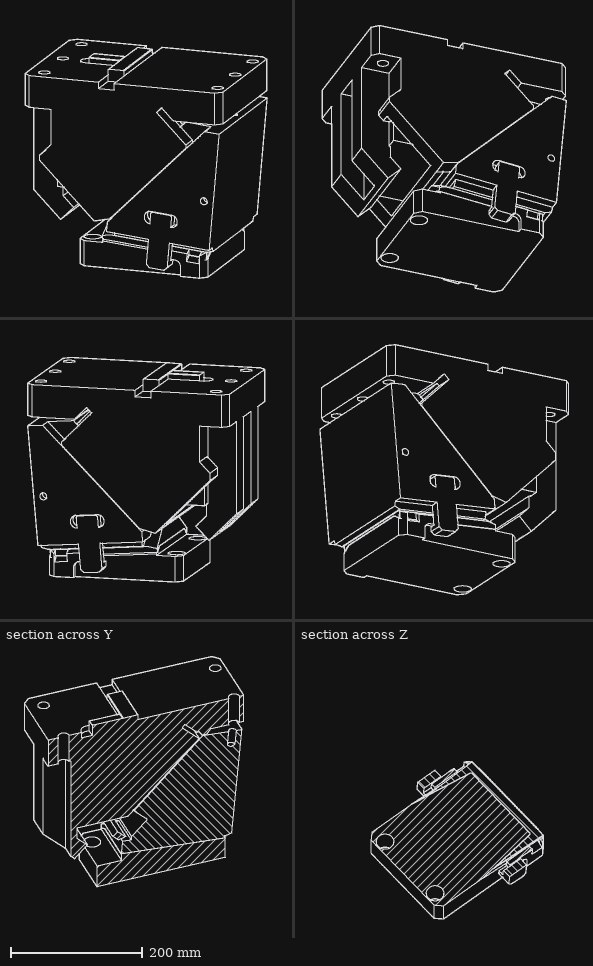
import cadquery as cq
import math


HALF_WIDTH = 110.0
FAR = 640.0
SLIDE_TILT = 5.0
SIN = math.sin(math.radians(SLIDE_TILT))
COS = math.cos(math.radians(SLIDE_TILT))

SLIDER_PLANE = -55.7
SLIDE_GAP = 1.0
HOLDER_PLANE = SLIDER_PLANE + SLIDE_GAP
RAIL_TOP_PLANE = -11.5
RAIL_ROOF_PLANE = RAIL_TOP_PLANE + SLIDE_GAP
RAIL_HALF_WIDTH = 80.0

SLIDER_CORNER_X = 301.0
SLIDER_CORNER_Z = 50.2

LENGTH = 320.0
PLATE_BOTTOM = 250.0
PLATE_TOP = 300.0
PLATE_MIDDLE = (PLATE_BOTTOM + PLATE_TOP) / 2
CORNER_CHAMFER = 10.0
KEY_TOP = 309.0
KEY_EDGE_CHAMFER = 1.0
KEYWAY_FLOOR = 290.0
KEYWAY_START = 122.0
KEYWAY_END = 147.2
CROSS_KEY_LENGTH = 130.5
LONG_KEY_START = 72.0
LONG_KEY_WIDTH = 25.0
LONG_KEYWAY_START = 54.7
BOLT_DIAMETER = 17.3
FRONT_BOLTS = (25.5, (-85.0, 0.0, 85.0))
REAR_BOLTS = (304.3, (-80.0, 0.0, 80.0))
COLUMN_HALF_WIDTH = 61.5
COLUMN_SLOT_WIDTH = 44.0
COLUMN_SLOT_DEPTH = 37.0
COLUMN_BACK = 47.7
HOOK_LOWER_SUM = 106.2
HOOK_UPPER_SUM = 148.5
HOOK_END_PLANE = 19.2
CORE_FRONT = 45.0
CORE_BOTTOM = 120.0
WING_TOP = 194.2
SIDE_LOWER_SUM = 194.5
SIDE_TOE_X = 115.2
SIDE_HEEL_X = 140.0
SIDE_NOSE_X = 263.5
WING_TIP = 26.2
FAR_WING_TIP = 28.5
WING_HALF_GAP = 66.0
WING_UNDERCUT_TOP = 160.3
BRIDGE_TOP_PLANE = -17.3
BRIDGE_BOTTOM_PLANE = -44.8
BRIDGE_END_SUM = 210.0
SLIT_END_PLANE = 45.0
SLIT_UPPER_SUM = 493.0
SLIT_CORE_SUM = 484.5
SLIT_SIDE_SUM = 477.0
BUMPER_X = 256.0
BUMPER_SIZE = 20.0
BUMPER_DROP = 8.3
BUMPER_TAPER = 36.0

SLIDER_LENGTH = 166.7
SLIDER_HEIGHT = 186.2
RAIL_END_SUM = 268.0
SKIRT_LENGTH = 160.0
SKIRT_DROP = 10.2
SKIRT_BEVEL_LENGTH = 9.5
SKIRT_BEVEL_DEPTH = 3.5
SKIRT_TOP_HALF = 94.5
SKIRT_BOTTOM_HALF = 89.5
SHOE_LENGTH = 181.0
SHOE_SETBACK = 11.2
SHOE_BEVEL_DEPTH = 4.0
SHOE_BEVEL_LENGTH = 13.5
SHOE_TOP = 10.0
SHOE_TOP_HALF = 52.5
SHOE_SIDE_HALF = 85.8
SHOE_SIDE_V = -12.0
ROOF_EDGE_HALF = 82.5
ROOF_EDGE_V = -21.8
ROOF_FLAT_HALF = 70.5
ROOF_FLAT_V = -14.5
LEG_U = -81.5
LEG_WIDTH = 34.0
LEG_BOTTOM_V = -44.5
LEG_TOP_V = 44.0
LEG_INNER = 95.0
LEG_CHAMFER = 5.0
LEG_FILLET = 3.2
FOOT_TOP_V = -32.0
EAR_SLOT_LENGTH = 53.5
EAR_SLOT_WIDTH = 20.0
EAR_SLOT_HEADROOM = 1.0
SIDE_HOLE_X = 292.5
SIDE_HOLE_Z = 127.5
SIDE_HOLE_DIAMETER = 11.0
SIDE_HOLE_DEPTH = 16.0
LIFT_HOLE_U = -15.7
LIFT_HOLE_DIAMETER = 12.0
LIFT_HOLE_DEPTH = 25.5
DRILL_POINT = 0.6

DRIVER_FRONT = 80.0
DRIVER_END = 290.0
DRIVER_HALF = 85.8
DRIVER_CHAMFER = 10.2
LEDGE_TOP = 40.0
ROOF_START = 120.0
CHEEK_HALF = 94.0
CHEEK_TOP_V = -16.5
CHEEK_LEFT_U = -84.5
CHEEK_HOOK_V = -30.0
CHEEK_WALL = 249.0
CHEEK_FILLET = 9.5
NOTCH_START_U = -40.0
NOTCH_END_U = -20.0
NOTCH_OUTER_V = -29.0
NOTCH_INNER_V = -22.5
DRIVER_HOLE_X = 95.0
DRIVER_HOLE_Y = 60.0
DRIVER_HOLE_DIAMETER = 26.2


def box(x0, x1, y0, y1, z0, z1):
    return cq.Workplane("XY").box(x1 - x0, y1 - y0, z1 - z0, centered=False).translate((x0, y0, z0))


def side_prism(points, y0, y1):
    """Prism with an (x, z) outline, running from y0 to y1."""
    return cq.Workplane("XZ", origin=(0, y1, 0)).polyline(points).close().extrude(y1 - y0)


def on_45(total, difference):
    """The (x, z) place where the planes x + z = total and z - x = difference cross."""
    return ((total - difference) / 2, (total + difference) / 2)


def tilted(u, v):
    """The (x, z) place of a point of the tilted frame."""
    return (SLIDER_CORNER_X + u * COS + v * SIN, SLIDER_CORNER_Z - u * SIN + v * COS)


def tilted_block(u0, u1, v0, v1, y0, y1):
    corners = [tilted(u0, v0), tilted(u1, v0), tilted(u1, v1), tilted(u0, v1)]
    return side_prism(corners, y0, y1)


def tilted_sketch(u):
    """Workplane for (y, v) outlines, square to the fall line."""
    x, z = tilted(u, 0)
    return cq.Workplane(cq.Plane(origin=(x, 0, z), xDir=(0, 1, 0), normal=(COS, 0, -SIN)))


def slide_prism(half_outline, u0, u1):
    """Prism along the fall line, from the +Y half of its (y, v) outline and its mirror image."""
    mirrored = [(-y, v) for y, v in reversed(half_outline)]
    return tilted_sketch(u0).polyline(half_outline + mirrored).close().extrude(u1 - u0)


def mirrored_pair(body):
    return body.union(body.mirror("XZ"))


def holder_plate():
    plate = box(0, LENGTH, -HALF_WIDTH, HALF_WIDTH, PLATE_BOTTOM, PLATE_TOP)
    return plate.edges("|Z").chamfer(CORNER_CHAMFER)


def holder_core():
    """Middle part over the slider's rail, bounded by the slit at its upper end."""
    slit_end = on_45(SLIT_CORE_SUM, SLIT_END_PLANE)
    outline = [
        (CORE_FRONT, PLATE_MIDDLE),
        (CORE_FRONT, CORE_BOTTOM),
        (CORE_BOTTOM - RAIL_ROOF_PLANE, CORE_BOTTOM),
        on_45(SLIT_CORE_SUM, RAIL_ROOF_PLANE),
        slit_end,
        (slit_end[0], PLATE_MIDDLE),
    ]
    return side_prism(outline, -RAIL_HALF_WIDTH, RAIL_HALF_WIDTH)


def side_plate(wing_tip):
    """Side plate on the +Y side, with its 45 degree wing at the front."""
    slit_end = on_45(SLIT_SIDE_SUM, SLIT_END_PLANE)
    outline = [
        (CORE_FRONT, PLATE_MIDDLE),
        (CORE_FRONT, WING_TOP),
        (wing_tip, WING_TOP - CORE_FRONT + wing_tip),
        (wing_tip, SIDE_LOWER_SUM - wing_tip),
        (SIDE_TOE_X, SIDE_LOWER_SUM - SIDE_TOE_X),
        (SIDE_HEEL_X, SIDE_HEEL_X + HOLDER_PLANE),
        (SIDE_NOSE_X, SIDE_NOSE_X + HOLDER_PLANE),
        (SIDE_NOSE_X, SLIT_SIDE_SUM - SIDE_NOSE_X),
        slit_end,
        (slit_end[0], PLATE_MIDDLE),
    ]
    plate = side_prism(outline, WING_HALF_GAP, HALF_WIDTH)
    behind_wing = box(CORE_FRONT, FAR, 0, RAIL_HALF_WIDTH, 0, FAR)
    undercut = box(0, FAR, 0, RAIL_HALF_WIDTH, 0, WING_UNDERCUT_TOP)
    return plate.cut(behind_wing).cut(undercut)


def hook_column():
    outline = [
        (0, PLATE_MIDDLE),
        (0, HOOK_LOWER_SUM),
        on_45(HOOK_LOWER_SUM, HOOK_END_PLANE),
        on_45(HOOK_UPPER_SUM, HOOK_END_PLANE),
        (COLUMN_BACK, HOOK_UPPER_SUM - COLUMN_BACK),
        (COLUMN_BACK, PLATE_MIDDLE),
    ]
    column = side_prism(outline, -COLUMN_HALF_WIDTH, COLUMN_HALF_WIDTH)
    half_slot = COLUMN_SLOT_WIDTH / 2
    return column.cut(box(0, COLUMN_SLOT_DEPTH, -half_slot, half_slot, 0, PLATE_BOTTOM))


def holder_bridge():
    """Bar that joins the side plates at their lower tips."""
    outline = [
        on_45(SIDE_LOWER_SUM, BRIDGE_TOP_PLANE),
        on_45(BRIDGE_END_SUM, BRIDGE_TOP_PLANE),
        on_45(BRIDGE_END_SUM, BRIDGE_BOTTOM_PLANE),
        (SIDE_TOE_X, SIDE_LOWER_SUM - SIDE_TOE_X),
    ]
    return side_prism(outline, -RAIL_HALF_WIDTH, RAIL_HALF_WIDTH)


def slit(lower_sum, y0, y1):
    """Slit that rises at 45 degrees into the plate from its underside."""
    outline = [
        (SLIT_UPPER_SUM - PLATE_BOTTOM, PLATE_BOTTOM),
        on_45(SLIT_UPPER_SUM, SLIT_END_PLANE),
        on_45(lower_sum, SLIT_END_PLANE),
        (lower_sum - PLATE_BOTTOM, PLATE_BOTTOM),
    ]
    return side_prism(outline, y0, y1)


def holder_slits():
    """The slit is narrow over the core and wide at the sides."""
    narrow = slit(SLIT_CORE_SUM, -HALF_WIDTH, HALF_WIDTH)
    wide = slit(SLIT_SIDE_SUM, RAIL_HALF_WIDTH, HALF_WIDTH)
    return narrow.union(mirrored_pair(wide))


def keyways():
    cross = box(KEYWAY_START, KEYWAY_END, -HALF_WIDTH, HALF_WIDTH, KEYWAY_FLOOR, PLATE_TOP)
    radius = LONG_KEY_WIDTH / 2
    center = LONG_KEYWAY_START + radius
    straight = box(center, KEYWAY_START, -radius, radius, KEYWAY_FLOOR, PLATE_TOP)
    depth = PLATE_TOP - KEYWAY_FLOOR
    round_end = cq.Workplane("XY", origin=(center, 0, KEYWAY_FLOOR)).circle(radius).extrude(depth)
    return cross.union(straight).union(round_end)


def keys():
    half_cross = CROSS_KEY_LENGTH / 2
    half_long = LONG_KEY_WIDTH / 2
    cross = box(KEYWAY_START, KEYWAY_END, -half_cross, half_cross, KEYWAY_FLOOR, KEY_TOP)
    cross = cross.faces(">Z").edges("|Y").chamfer(KEY_EDGE_CHAMFER)
    long = box(LONG_KEY_START, KEYWAY_START, -half_long, half_long, KEYWAY_FLOOR, KEY_TOP)
    long = long.faces(">Z").edges("|X").chamfer(KEY_EDGE_CHAMFER)
    return cross.union(long)


def bolt_holes():
    points = [(x, y) for x, places in (FRONT_BOLTS, REAR_BOLTS) for y in places]
    plane = cq.Workplane("XY", origin=(0, 0, PLATE_BOTTOM))
    return plane.pushPoints(points).circle(BOLT_DIAMETER / 2).extrude(PLATE_TOP - PLATE_BOTTOM)


def bumper():
    """Tapered stop under the plate, just above the slider."""
    plane = cq.Workplane("XY", origin=(BUMPER_X, 0, PLATE_BOTTOM))
    return plane.rect(BUMPER_SIZE, BUMPER_SIZE).extrude(-BUMPER_DROP, taper=BUMPER_TAPER)


def make_holder():
    body = holder_plate().union(holder_core())
    body = body.union(side_plate(FAR_WING_TIP)).union(side_plate(WING_TIP).mirror("XZ"))
    body = body.union(hook_column()).union(holder_bridge())
    body = body.cut(holder_slits()).cut(keyways()).cut(bolt_holes())
    return body.union(keys()).union(bumper())


def slider_block():
    block = tilted_block(-SLIDER_LENGTH, 0, 0, SLIDER_HEIGHT, -HALF_WIDTH, HALF_WIDTH)
    above = [(0, SLIDER_PLANE), (FAR, FAR + SLIDER_PLANE), (0, FAR)]
    return block.cut(side_prism(above, -FAR, FAR))


def slider_rail():
    rail = tilted_block(-SLIDER_LENGTH, 0, 0, SLIDER_HEIGHT, -RAIL_HALF_WIDTH, RAIL_HALF_WIDTH)
    above = [(0, RAIL_TOP_PLANE), (FAR, FAR + RAIL_TOP_PLANE), (0, FAR)]
    before = [(RAIL_END_SUM, 0), (0, RAIL_END_SUM), (0, 0)]
    return rail.cut(side_prism(above, -FAR, FAR)).cut(side_prism(before, -FAR, FAR))


def slider_skirt():
    outline = [(SKIRT_TOP_HALF, 0), (SKIRT_BOTTOM_HALF, -SKIRT_DROP)]
    bevel = [
        tilted(-SKIRT_BEVEL_LENGTH, -SKIRT_DROP),
        tilted(0, -SKIRT_DROP),
        tilted(0, SKIRT_BEVEL_DEPTH - SKIRT_DROP),
    ]
    return slide_prism(outline, -SKIRT_LENGTH, 0).cut(side_prism(bevel, -HALF_WIDTH, HALF_WIDTH))


def slider_shoe():
    """V-shaped shoe that rides on the driver roof, with bevelled slopes at its lower-X end."""
    half_outline = [
        (0, SHOE_TOP),
        (SHOE_TOP_HALF, SHOE_TOP),
        (SHOE_SIDE_HALF, SHOE_SIDE_V),
        (ROOF_EDGE_HALF, ROOF_EDGE_V),
        (ROOF_FLAT_HALF, ROOF_FLAT_V),
        (0, ROOF_FLAT_V),
    ]
    half = tilted_sketch(-SHOE_LENGTH).polyline(half_outline).close().extrude(SHOE_LENGTH - SHOE_SETBACK)
    edge_x, edge_z = tilted(-SHOE_LENGTH, (SHOE_TOP + SHOE_SIDE_V) / 2)
    edge_y = (SHOE_TOP_HALF + SHOE_SIDE_HALF) / 2
    slope_edge = cq.selectors.NearestToPointSelector((edge_x, edge_y, edge_z))
    return mirrored_pair(half.edges(slope_edge).chamfer(SHOE_BEVEL_LENGTH, SHOE_BEVEL_DEPTH))


def ear_slots():
    """Obround pocket, in the +Y side, that the leg's head sits in."""
    radius = EAR_SLOT_WIDTH / 2
    center_v = LEG_TOP_V - radius + EAR_SLOT_HEADROOM
    reach = EAR_SLOT_LENGTH / 2 - radius
    slot = tilted_block(LEG_U - reach, LEG_U + reach, center_v - radius, center_v + radius,
                        LEG_INNER, HALF_WIDTH)
    for u in (LEG_U - reach, LEG_U + reach):
        x, z = tilted(u, center_v)
        end = cq.Workplane("XZ", origin=(x, HALF_WIDTH, z)).circle(radius)
        slot = slot.union(end.extrude(HALF_WIDTH - LEG_INNER))
    return slot


def return_leg():
    """Leg on the +Y side, with a foot that hooks inward under the driver's cheek."""
    u0 = LEG_U - LEG_WIDTH / 2
    u1 = LEG_U + LEG_WIDTH / 2
    sole = [
        tilted(u0, LEG_BOTTOM_V + LEG_CHAMFER),
        tilted(u0 + LEG_CHAMFER, LEG_BOTTOM_V),
        tilted(u1 - LEG_CHAMFER, LEG_BOTTOM_V),
        tilted(u1, LEG_BOTTOM_V + LEG_CHAMFER),
    ]
    leg = side_prism(sole + [tilted(u1, LEG_TOP_V), tilted(u0, LEG_TOP_V)], LEG_INNER, HALF_WIDTH)
    for u in (u0, u1):
        x, z = tilted(u, LEG_TOP_V)
        head_corner = cq.selectors.NearestToPointSelector((x, (LEG_INNER + HALF_WIDTH) / 2, z))
        leg = leg.edges("|Y").edges(head_corner).fillet(LEG_FILLET)
    foot = side_prism(sole + [tilted(u1, FOOT_TOP_V), tilted(u0, FOOT_TOP_V)], DRIVER_HALF, HALF_WIDTH)
    return leg.union(foot)


def drilled_hole(x, y, z, direction, diameter, depth):
    """Blind hole from a point along a direction, with a conical drill point."""
    radius = diameter / 2
    start = cq.Vector(x, y, z)
    axis = cq.Vector(*direction)
    bore = cq.Solid.makeCylinder(radius, depth, start, axis)
    point = cq.Solid.makeCone(radius, 0, radius * DRILL_POINT, start + axis * depth, axis)
    return cq.Workplane(bore.fuse(point))


def make_slider():
    body = slider_block().union(slider_rail()).union(slider_skirt()).union(slider_shoe())
    body = body.cut(mirrored_pair(ear_slots())).union(mirrored_pair(return_leg()))
    side_hole = drilled_hole(
        SIDE_HOLE_X, HALF_WIDTH, SIDE_HOLE_Z, (0, -1, 0), SIDE_HOLE_DIAMETER, SIDE_HOLE_DEPTH
    )
    x, z = tilted(LIFT_HOLE_U, SLIDER_HEIGHT)
    lift_hole = drilled_hole(x, 0, z, (-SIN, 0, -COS), LIFT_HOLE_DIAMETER, LIFT_HOLE_DEPTH)
    return body.cut(mirrored_pair(side_hole)).cut(lift_hole)


def driver_base():
    ledge = box(DRIVER_FRONT, ROOF_START, -DRIVER_HALF, DRIVER_HALF, 0, LEDGE_TOP)
    ledge = ledge.edges("|Z and <X").chamfer(DRIVER_CHAMFER)
    slope = (ROOF_FLAT_V - ROOF_EDGE_V) / (ROOF_EDGE_HALF - ROOF_FLAT_HALF)
    eave_v = ROOF_EDGE_V - slope * (DRIVER_HALF - ROOF_EDGE_HALF)
    roof = slide_prism([(ROOF_FLAT_HALF, ROOF_FLAT_V), (DRIVER_HALF, eave_v), (DRIVER_HALF, -FAR)],
                       -FAR, FAR)
    body = box(ROOF_START, DRIVER_END, -DRIVER_HALF, DRIVER_HALF, 0, FAR).intersect(roof)
    return ledge.union(body)


def driver_cheek():
    """Widened cheek on the +Y side, undercut to let the slider's foot pass."""
    hook_left = tilted(CHEEK_LEFT_U, CHEEK_HOOK_V)
    hook_right_z = hook_left[1] - (CHEEK_WALL - hook_left[0]) * SIN / COS
    outline = [
        tilted(CHEEK_LEFT_U, 0),
        hook_left,
        (CHEEK_WALL, hook_right_z),
        (CHEEK_WALL, 0),
        (DRIVER_END, 0),
        (DRIVER_END, SLIDER_CORNER_Z),
    ]
    cheek = side_prism(outline, DRIVER_HALF, CHEEK_HALF)
    undercut_corner = cq.selectors.NearestToPointSelector((CHEEK_WALL, DRIVER_HALF, hook_right_z))
    cheek = cheek.edges("|Y").edges(undercut_corner).fillet(CHEEK_FILLET)
    top = slide_prism([(DRIVER_HALF, SHOE_SIDE_V), (CHEEK_HALF, CHEEK_TOP_V), (CHEEK_HALF, -FAR)], -FAR, FAR)
    return cheek.intersect(top)


def cheek_notch():
    """Notch with a sloping floor in the top of the +Y cheek."""
    outline = [
        (ROOF_EDGE_HALF, NOTCH_INNER_V),
        (CHEEK_HALF, NOTCH_OUTER_V),
        (CHEEK_HALF, 0),
        (ROOF_EDGE_HALF, 0),
    ]
    return tilted_sketch(NOTCH_START_U).polyline(outline).close().extrude(NOTCH_END_U - NOTCH_START_U)


def make_driver():
    body = driver_base().union(mirrored_pair(driver_cheek()))
    envelope = box(DRIVER_FRONT, DRIVER_END, -CHEEK_HALF, CHEEK_HALF, 0, FAR)
    body = body.intersect(envelope.edges("|Z and >X").chamfer(DRIVER_CHAMFER))
    body = body.cut(mirrored_pair(cheek_notch()))
    points = [(DRIVER_HOLE_X, DRIVER_HOLE_Y), (DRIVER_HOLE_X, -DRIVER_HOLE_Y)]
    holes = cq.Workplane("XY").pushPoints(points).circle(DRIVER_HOLE_DIAMETER / 2).extrude(LEDGE_TOP)
    return body.cut(holes)


holder = make_holder()
slider = make_slider()
driver = make_driver()
result = cq.Compound.makeCompound([*holder.solids().vals(), *slider.solids().vals(), *driver.solids().vals()])